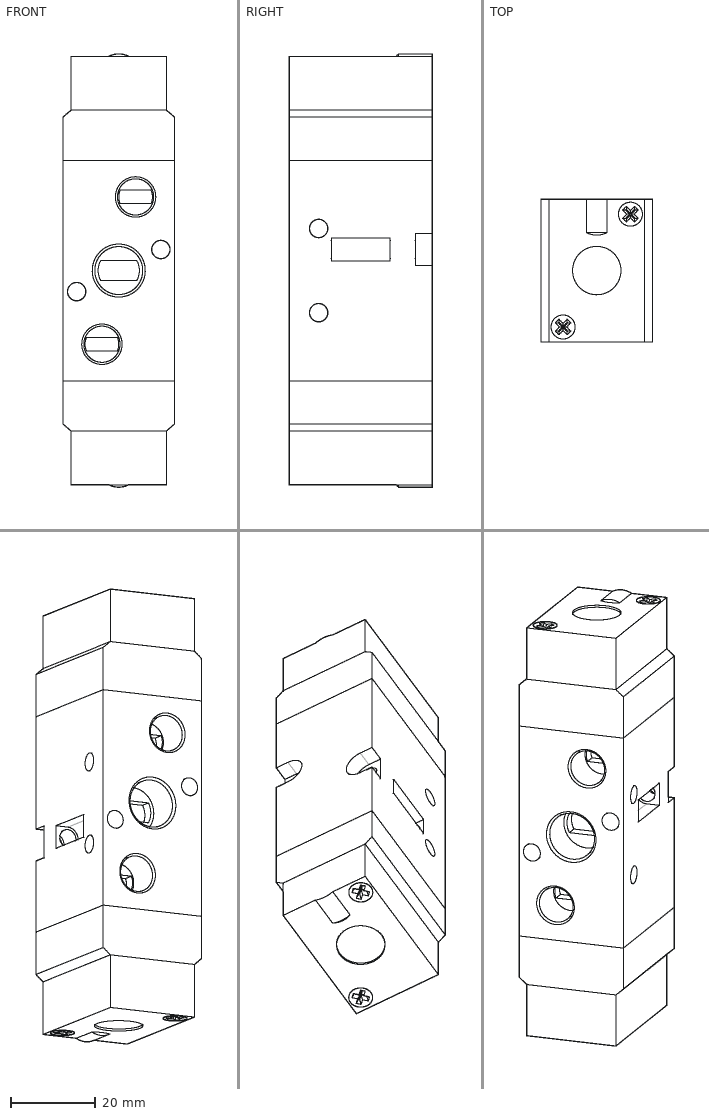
import cadquery as cq

WIDTH = 26.5
DEPTH = 34.0
HEIGHT = 103.0

BODY_HALF_HEIGHT = 26.2
PLATE_TOP = 38.1
BUTTON_RISE = 0.6
COVER_TOP = HEIGHT / 2 - BUTTON_RISE

COVER_WIDTH = 22.7
PLATE_CHAMFER_HEIGHT = 1.6

SIDE_PORT_X = 4.0
SIDE_PORT_Z = 17.5
SIDE_PORT_SIZES = (8.6, 9.6, 8.0, 3.2)
CENTRE_PORT_SIZES = (11.4, 12.6, 9.8, 4.8)
PORTS = [
    (SIDE_PORT_X, SIDE_PORT_Z, *SIDE_PORT_SIZES),
    (0.0, 0.0, *CENTRE_PORT_SIZES),
    (-SIDE_PORT_X, -SIDE_PORT_Z, *SIDE_PORT_SIZES),
]
PORT_DEPTH = 10.0
PASSAGE_DEPTH = 3.0

MOUNT_HOLE_DIAMETER = 4.3
FRONT_HOLE_X = 10.0
FRONT_HOLE_Z = 5.0
CROSS_HOLE_Y = -10.0
CROSS_HOLE_Z = 10.0

WINDOW_HEIGHT = 5.5
WINDOW_LENGTH = 13.9
NUT_NOTCH_HEIGHT = 7.7
NUT_NOTCH_DEPTH = 4.0

BUTTON_WIDTH = 4.8
BUTTON_LENGTH = 8.6
BUTTON_RADIUS = (BUTTON_WIDTH**2 / 4 + BUTTON_RISE**2) / (2 * BUTTON_RISE)

RECESS_DIAMETER = 11.5
RECESS_DEPTH = 0.5

SCREW_X = 8.0
SCREW_Y = 13.4
SCREW_DIAMETER = 5.7
SCREW_SINK = 0.1
CROSS_LENGTH = 4.0
CROSS_ARM_WIDTH = 1.2
CROSS_DEPTH = 1.2
CROSS_TAPER = 22.0
CROSS_ANGLES = (45, 135)


def cylinder_from_front(x, z, diameter, length):
    """Cylinder that starts on the -Y face and runs along +Y."""
    return (
        cq.Workplane("XZ", origin=(x, -DEPTH / 2, z))
        .circle(diameter / 2)
        .extrude(-length)
    )


def port_cutter(x, z, bore, mouth, passage_width, passage_height):
    """Chamfered blind bore with a flat-sided passage in its floor."""
    chamfer = (mouth - bore) / 2
    cutter = cylinder_from_front(x, z, bore, PORT_DEPTH)
    countersink = cq.Workplane(
        cq.Solid.makeCone(mouth / 2, bore / 2, chamfer, cq.Vector(x, -DEPTH / 2, z), cq.Vector(0, 1, 0))
    )
    passage = cylinder_from_front(x, z, passage_width, PORT_DEPTH + PASSAGE_DEPTH)
    flats = cq.Workplane("XY").box(passage_width, 2 * DEPTH, passage_height).translate((x, 0, z))
    return cutter.union(countersink).union(passage.intersect(flats))


def side_opening(height, length, y_centre):
    """Round-bottomed slot from the -X face in to the front mounting hole."""
    straight = WIDTH / 2 - FRONT_HOLE_X
    x, z = -FRONT_HOLE_X, -FRONT_HOLE_Z
    round_end = (
        cq.Workplane("XZ", origin=(x, y_centre - length / 2, z))
        .circle(height / 2)
        .extrude(-length)
    )
    mouth = cq.Workplane("XY").box(straight, length, height).translate((x - straight / 2, y_centre, z))
    return round_end.union(mouth)


def half_turn(shape):
    """Copy of a shape turned half way round about the Y axis."""
    return shape.rotate((0, 0, 0), (0, 1, 0), 180)


def make_valve_body():
    body = cq.Workplane("XY").box(WIDTH, DEPTH, 2 * BODY_HALF_HEIGHT)
    for port in PORTS:
        body = body.cut(port_cutter(*port))
    for side in (-1, 1):
        body = body.cut(
            cylinder_from_front(side * FRONT_HOLE_X, side * FRONT_HOLE_Z, MOUNT_HOLE_DIAMETER, DEPTH)
        )
    cross_holes = (
        cq.Workplane("YZ", origin=(-WIDTH / 2, 0, 0))
        .pushPoints([(CROSS_HOLE_Y, CROSS_HOLE_Z), (CROSS_HOLE_Y, -CROSS_HOLE_Z)])
        .circle(MOUNT_HOLE_DIAMETER / 2)
        .extrude(WIDTH)
    )
    body = body.cut(cross_holes)
    window = side_opening(WINDOW_HEIGHT, WINDOW_LENGTH, 0)
    nut_notch = side_opening(NUT_NOTCH_HEIGHT, NUT_NOTCH_DEPTH, (DEPTH - NUT_NOTCH_DEPTH) / 2)
    for opening in (window, nut_notch):
        body = body.cut(opening).cut(half_turn(opening))
    return body


def make_plate():
    """Upper intermediate plate with bevelled outer shoulders."""
    shoulder = PLATE_TOP - PLATE_CHAMFER_HEIGHT
    return (
        cq.Workplane("XZ", origin=(0, DEPTH / 2, 0))
        .moveTo(-WIDTH / 2, BODY_HALF_HEIGHT)
        .lineTo(WIDTH / 2, BODY_HALF_HEIGHT)
        .lineTo(WIDTH / 2, shoulder)
        .lineTo(COVER_WIDTH / 2, PLATE_TOP)
        .lineTo(-COVER_WIDTH / 2, PLATE_TOP)
        .lineTo(-WIDTH / 2, shoulder)
        .close()
        .extrude(DEPTH)
    )


def override_button():
    """Crown of a lying cylinder with a bevelled front end."""
    axis_z = HEIGHT / 2 - BUTTON_RADIUS
    cylinder = (
        cq.Workplane("XZ", origin=(0, DEPTH / 2, axis_z))
        .circle(BUTTON_RADIUS)
        .extrude(BUTTON_LENGTH)
        .faces("<Y")
        .chamfer(BUTTON_RISE)
    )
    crown = cq.Workplane("XY", origin=(0, 0, COVER_TOP)).rect(WIDTH, DEPTH).extrude(BUTTON_RISE)
    return cylinder.intersect(crown)


def screw_cutter(x, y):
    """Sunk screw head outline with a tapered cross recess."""
    cutter = (
        cq.Workplane("XY", origin=(x, y, COVER_TOP))
        .circle(SCREW_DIAMETER / 2)
        .extrude(-SCREW_SINK)
    )
    for angle in CROSS_ANGLES:
        arm = (
            cq.Workplane("XY")
            .rect(CROSS_LENGTH, CROSS_ARM_WIDTH)
            .extrude(-CROSS_DEPTH, taper=CROSS_TAPER)
            .rotate((0, 0, 0), (0, 0, 1), angle)
            .translate((x, y, COVER_TOP - SCREW_SINK))
        )
        cutter = cutter.union(arm)
    return cutter


def make_cover():
    """Upper end cover with its button, round recess and two screw heads."""
    cover = (
        cq.Workplane("XY", origin=(0, 0, PLATE_TOP))
        .rect(COVER_WIDTH, DEPTH)
        .extrude(COVER_TOP - PLATE_TOP)
        .union(override_button())
    )
    recess = (
        cq.Workplane("XY", origin=(0, 0, COVER_TOP))
        .circle(RECESS_DIAMETER / 2)
        .extrude(-RECESS_DEPTH)
    )
    cover = cover.cut(recess)
    for side in (-1, 1):
        cover = cover.cut(screw_cutter(side * SCREW_X, side * SCREW_Y))
    return cover


valve_body = make_valve_body()
upper_plate = make_plate()
upper_cover = make_cover()
plates = [upper_plate, half_turn(upper_plate)]
covers = [upper_cover, half_turn(upper_cover)]

result = cq.Compound.makeCompound([body.val() for body in (valve_body, *plates, *covers)])